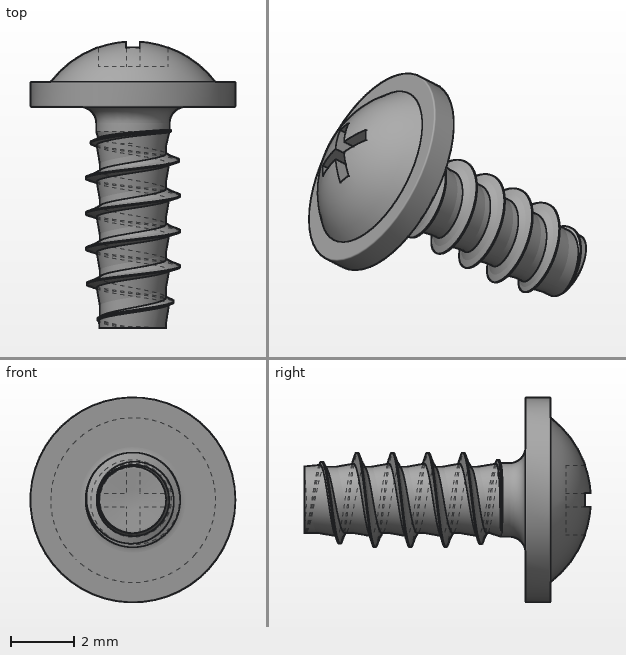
import cadquery as cq
import math


washer_radius = 3.25
washer_height = 0.8
washer_edge_round = 0.05
dome_base_radius = 2.61
dome_height = 1.285
head_top = washer_height + dome_height

recess_span = 2.2
recess_slot_width = 0.43
recess_depth = 0.8

length = 7.0
shank_radius = 1.17
underhead_fillet = 0.5
shank_depth = 0.77
core_radius = 1.05
shank_end_depth = 1.2
shank_end_radius = 1.03
tip_rim_radius = 0.98
tip_dimple_depth = 0.07

pitch = 1.12
thread_radius = 1.5
thread_phase_depth = 1.685
crest_width = 0.04
swell_radius = 1.15
swell_end = 0.69
tip_flank_foot = 0.12
faded_tip_flank_foot = 0.03

head_flank_foot = 0.22
knee_offset = 0.10
knee_radius = 1.27

faded_crest_radius = 1.06
faded_head_flank_foot = 0.03
faded_knee_offset = 0.025
faded_knee_radius = 1.055

thread_start = -1.25
run_in_start = -1.6
level_end = -1.0
lead_end = -0.67
full_height_start = 0.11
full_height_end = 3.41
thread_end = 4.68
swell_fade_start = 4.0
thread_turns = 7
points_per_turn = 24


def helix_depth(turns):
    """Depth of the regular helix."""
    return thread_phase_depth + pitch * turns


def crest_depth(turns):
    """Depth of the thread crest: level at first, then the lead grows to the full pitch."""
    if turns >= lead_end:
        return helix_depth(turns)
    span = lead_end - level_end
    level_depth = helix_depth(lead_end) - pitch * span / 2
    advance = max(turns - level_end, 0)
    return level_depth + pitch * advance**2 / (2 * span)


def thread_fullness(turns):
    """1 where the thread has its full height, falling to 0 at both of its ends."""
    run_in = (turns - run_in_start) / (full_height_start - run_in_start)
    run_out = (thread_end - turns) / (thread_end - full_height_end)
    return max(min(run_in, run_out, 1), 0)


def thread_profile(turns):
    """Corners (depth, radius) of the thread and the swell behind it."""
    fullness = thread_fullness(turns)

    def blend(faded, full):
        return faded + (full - faded) * fullness

    crest = crest_depth(turns)
    foot = crest - blend(faded_head_flank_foot, head_flank_foot)
    knee = crest - blend(faded_knee_offset, knee_offset)
    crest_radius = blend(faded_crest_radius, thread_radius)
    swell_left = (thread_end - turns) / (thread_end - swell_fade_start)
    swell_height = (swell_radius - core_radius) * max(min(swell_left, 1), 0)
    end = helix_depth(turns) + swell_end
    return [
        (end - pitch, core_radius),
        (foot, core_radius),
        (knee, blend(faded_knee_radius, knee_radius)),
        (crest - crest_width / 2, crest_radius),
        (crest + crest_width / 2, crest_radius),
        (crest + blend(faded_tip_flank_foot, tip_flank_foot), core_radius + swell_height),
        (end, core_radius),
    ]


def space_point(depth, radius, turns):
    """Point at a depth and radius, at the angle the helix has reached after these turns."""
    angle = 2 * math.pi * turns
    return cq.Vector(radius * math.cos(angle), -depth, radius * math.sin(angle))


def thread_section(turns):
    return [space_point(depth, radius, turns) for depth, radius in thread_profile(turns)]


def axis_points(turns):
    """Points on the axis level with the first and the last corner of the section."""
    section = thread_section(turns)
    return [cq.Vector(0, section[0].y, 0), cq.Vector(0, section[-1].y, 0)]


def section_face(turns):
    """Flat face from the axis out to the thread profile."""
    first, last = axis_points(turns)
    outline = [first] + thread_section(turns) + [last]
    return cq.Face.makeFromWires(cq.Wire.makePolygon(outline, close=True))


def make_threaded_core():
    """Core with its thread: ruled strips one turn long, closed by a helicoid at each end."""
    faces = []
    for turn in range(thread_turns):
        start = thread_start + turn
        stations = [start + i / points_per_turn for i in range(points_per_turn + 1)]
        sections = [thread_section(t) for t in stations]
        paths = [cq.Edge.makeSpline(list(points)) for points in zip(*sections)]
        faces += [cq.Face.makeRuledSurface(a, b) for a, b in zip(paths, paths[1:])]
        axis = cq.Edge.makeLine(*axis_points(start))
        if turn == 0:
            faces.append(cq.Face.makeRuledSurface(axis, paths[0]))
        if turn == thread_turns - 1:
            next_axis = cq.Edge.makeLine(*axis_points(start + 1))
            faces.append(cq.Face.makeRuledSurface(next_axis, paths[-1]))
    faces.append(section_face(thread_start))
    faces.append(section_face(thread_start + thread_turns))
    return cq.Workplane(cq.Solid.makeSolid(cq.Shell.makeShell(faces)))


def make_head():
    """Washer with rounded edges under a spherical dome."""
    washer = cq.Workplane("XZ").circle(washer_radius).extrude(-washer_height)
    washer = washer.edges().fillet(washer_edge_round)
    sphere_radius = (dome_base_radius**2 + dome_height**2) / (2 * dome_height)
    half_angle = math.asin(dome_base_radius / sphere_radius) / 2
    arc_mid = (
        sphere_radius * math.sin(half_angle),
        head_top - sphere_radius * (1 - math.cos(half_angle)),
    )
    dome = (
        cq.Workplane("XY")
        .moveTo(0, washer_height / 2)
        .lineTo(dome_base_radius, washer_height / 2)
        .lineTo(dome_base_radius, washer_height)
        .threePointArc(arc_mid, (0, head_top))
        .close()
        .revolve(360, (0, 0), (0, 1))
    )
    return washer.union(dome)


def make_recess():
    """Cross of two straight slots."""
    floor = cq.Workplane("XZ", origin=(0, head_top - recess_depth, 0))
    slot_x = floor.rect(recess_span, recess_slot_width).extrude(-recess_depth)
    slot_z = floor.rect(recess_slot_width, recess_span).extrude(-recess_depth)
    return slot_x.union(slot_z)


def make_shank():
    """Plain shank with the fillet under the head and the taper down to the core."""
    fillet_mid = underhead_fillet * (1 - math.sqrt(0.5))
    buried_top = washer_height / 2
    return (
        cq.Workplane("XY")
        .moveTo(0, buried_top)
        .lineTo(shank_radius + underhead_fillet, buried_top)
        .lineTo(shank_radius + underhead_fillet, 0)
        .threePointArc(
            (shank_radius + fillet_mid, -fillet_mid),
            (shank_radius, -underhead_fillet),
        )
        .lineTo(shank_radius, -shank_depth)
        .lineTo(shank_end_radius, -shank_end_depth)
        .lineTo(0, -shank_end_depth)
        .close()
        .revolve(360, (0, 0), (0, 1))
    )


def make_tip_dimple():
    """Shallow cone sunk into the tip face."""
    return cq.Workplane(
        cq.Solid.makeCone(
            tip_rim_radius,
            0,
            tip_dimple_depth,
            pnt=cq.Vector(0, -length, 0),
            dir=cq.Vector(0, 1, 0),
        )
    )


def make_space_beyond_tip():
    return cq.Workplane("XZ", origin=(0, -length, 0)).circle(washer_radius).extrude(length)


threaded_core = make_threaded_core().cut(make_space_beyond_tip()).cut(make_tip_dimple())
screw = threaded_core.union(make_shank()).union(make_head())
result = screw.cut(make_recess())